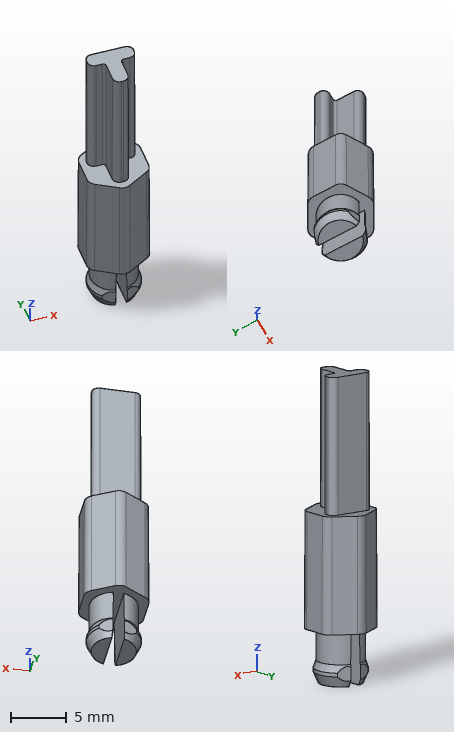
import cadquery as cq
import math

total_height = 28.55
foot_height = 5.02
shoulder_height = 15.87

hex_flats = 5.95
hex_corner_radius = 1.0
body_draft = 0.25

bar_length = 4.5
bar_width = 1.5
bar_back = 1.7
post_depth = 4.17
end_radius = 0.65
inner_radius = 0.25
post_draft = 0.1

foot_radius = 2.23
barb_radius = 2.48
facet_angle = 21.0
facet_distance = 2.28
tip_radius = 2.03
barb_low = 1.03
barb_high = 1.37
barb_top = 2.08
slot_mouth_width = 1.1
slot_root_width = 0.95


def make_body():
    """Rounded hexagon with two flats facing +X and -X."""
    corner_diameter = hex_flats / math.cos(math.pi / 6)
    outline = cq.Sketch().regularPolygon(corner_diameter / 2, 6)
    outline = outline.vertices().fillet(hex_corner_radius)
    return (
        cq.Workplane("XY", origin=(0, 0, foot_height))
        .placeSketch(outline)
        .extrude(shoulder_height - foot_height, taper=body_draft)
    )


def make_post():
    """T-shaped post with rounded ends and rounded inner corners."""
    half_bar = bar_length / 2
    half_stem = bar_width / 2
    bar_front = bar_back - bar_width
    stem_end = bar_back - post_depth
    return (
        cq.Workplane("XY", origin=(0, 0, shoulder_height))
        .moveTo(0, bar_back)
        .lineTo(half_bar - end_radius, bar_back)
        .radiusArc((half_bar, bar_back - end_radius), end_radius)
        .lineTo(half_bar, bar_front + end_radius)
        .radiusArc((half_bar - end_radius, bar_front), end_radius)
        .lineTo(half_stem + inner_radius, bar_front)
        .radiusArc((half_stem, bar_front - inner_radius), -inner_radius)
        .lineTo(half_stem, stem_end + end_radius)
        .radiusArc((half_stem - end_radius, stem_end), end_radius)
        .lineTo(0, stem_end)
        .mirrorY()
        .extrude(total_height - shoulder_height, taper=post_draft)
    )


def make_foot():
    """Turned snap foot, with four barb facets and a tapering slot."""
    barb = (
        cq.Workplane("XZ")
        .polyline([
            (0, 0),
            (tip_radius, 0),
            (barb_radius, barb_low),
            (barb_radius, barb_high),
            (foot_radius, barb_top),
            (0, barb_top),
        ])
        .close()
        .revolve(360, (0, 0, 0), (0, 1, 0))
    )
    facet_tilt = math.radians(facet_angle)
    rhombus_length = 2 * facet_distance / math.sin(facet_tilt)
    rhombus_width = 2 * facet_distance / math.cos(facet_tilt)
    facet_prism = (
        cq.Workplane("XY")
        .polyline([
            (rhombus_length / 2, 0),
            (0, rhombus_width / 2),
            (-rhombus_length / 2, 0),
            (0, -rhombus_width / 2),
        ])
        .close()
        .extrude(barb_top)
    )
    shank = (
        cq.Workplane("XY", origin=(0, 0, barb_top))
        .circle(foot_radius)
        .extrude(foot_height - barb_top)
    )
    faceted = barb.intersect(facet_prism).union(shank)
    slot = (
        cq.Workplane("XZ")
        .polyline([
            (-slot_mouth_width / 2, 0),
            (slot_mouth_width / 2, 0),
            (slot_root_width / 2, foot_height),
            (-slot_root_width / 2, foot_height),
        ])
        .close()
        .extrude(barb_radius, both=True)
    )
    return faceted.cut(slot)


result = make_body().union(make_post()).union(make_foot())